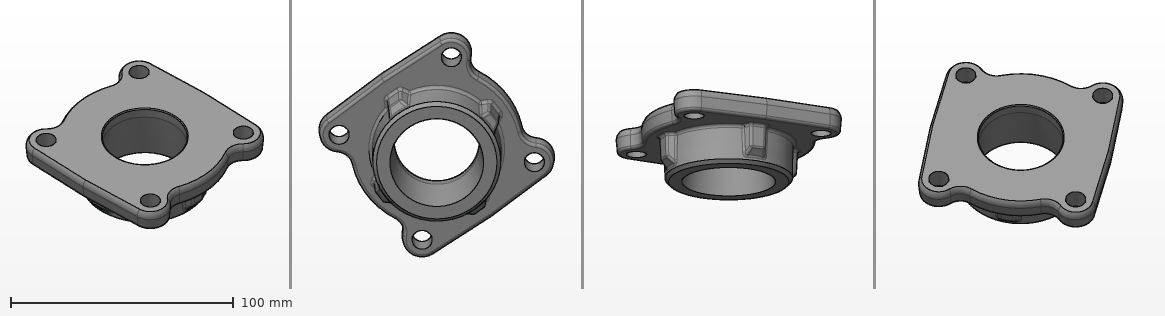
import cadquery as cq
import math

total_height = 27.8
casting_fillet = 1.5
casting_draft = 5.0

flange_thickness = 10.0
flange_width = 81.0
flange_depth = 83.2
parting_depth = 3.5
rim_radius = 5.0
hole_offset = 31.4
hole_diameter = 9.0
ear_radius = flange_width / 2 - hole_offset
bulge_radius = 39.3
waist_radius = 7.0

boss_bottom_radius = 28.7
boss_draft = 1.0
boss_chamfer = 1.7

rib_count = 4
rib_reach = 32.6
rib_root_radius = 25.0
rib_half_width = 3.75
rib_side_angle = 26.0
rib_draft = 2.5
rib_slope_depth = 24.4

bore_radius = 19.1
bore_chamfer = 0.5
straight_bore_depth = 5.0

flange_bottom = -flange_thickness
boss_bottom = -total_height


def polar(radius, angle):
    return (radius * math.cos(angle), radius * math.sin(angle))


def toward(start, end, distance):
    """Point at a given distance from start on the line to end."""
    fraction = distance / math.dist(start, end)
    return (start[0] + fraction * (end[0] - start[0]), start[1] + fraction * (end[1] - start[1]))


def quarter_outline():
    """Tangent points and arc mid-points from the +X side round to the +Y peak."""
    ear = (hole_offset, hole_offset)
    ear_distance = math.hypot(*ear)

    waist_distance = bulge_radius + waist_radius
    waist_to_ear = ear_radius + waist_radius
    squares = waist_distance**2 + ear_distance**2 - waist_to_ear**2
    waist_cosine = squares / (2 * waist_distance * ear_distance)
    waist_angle = math.pi / 4 - math.acos(waist_cosine)
    waist = polar(waist_distance, waist_angle)
    bulge_end = polar(bulge_radius, waist_angle)
    ear_start = toward(ear, waist, ear_radius)
    chord_middle = ((bulge_end[0] + ear_start[0]) / 2, (bulge_end[1] + ear_start[1]) / 2)
    waist_middle = toward(waist, chord_middle, waist_radius)

    peak = (0, flange_depth / 2)
    peak_to_ear = math.dist(peak, ear)
    direction_to_peak = math.atan2(peak[1] - ear[1], peak[0] - ear[0])
    tangent_angle = direction_to_peak - math.acos(ear_radius / peak_to_ear)
    start_angle = math.atan2(ear_start[1] - ear[1], ear_start[0] - ear[0])
    ear_middle_offset = polar(ear_radius, (start_angle + tangent_angle) / 2)
    ear_end_offset = polar(ear_radius, tangent_angle)
    ear_middle = (ear[0] + ear_middle_offset[0], ear[1] + ear_middle_offset[1])
    ear_end = (ear[0] + ear_end_offset[0], ear[1] + ear_end_offset[1])
    return bulge_end, waist_middle, ear_start, ear_middle, ear_end, peak


def flange_outline(level):
    bulge_end, waist_middle, ear_start, ear_middle, ear_end, peak = quarter_outline()

    def left(point):
        return (-point[0], point[1])

    def front(point):
        return (point[0], -point[1])

    def opposite(point):
        return (-point[0], -point[1])

    return (
        cq.Workplane("XY", origin=(0, 0, level))
        .moveTo(*front(bulge_end))
        .threePointArc((bulge_radius, 0), bulge_end)
        .threePointArc(waist_middle, ear_start)
        .threePointArc(ear_middle, ear_end)
        .lineTo(*peak)
        .lineTo(*left(ear_end))
        .threePointArc(left(ear_middle), left(ear_start))
        .threePointArc(left(waist_middle), left(bulge_end))
        .threePointArc((-bulge_radius, 0), opposite(bulge_end))
        .threePointArc(opposite(waist_middle), opposite(ear_start))
        .threePointArc(opposite(ear_middle), opposite(ear_end))
        .lineTo(*front(peak))
        .lineTo(*front(ear_end))
        .threePointArc(front(ear_middle), front(ear_start))
        .threePointArc(front(waist_middle), front(bulge_end))
        .close()
    )


def make_flange():
    block_height = 1.5 * rim_radius
    block_top = rim_radius - parting_depth
    upper = flange_outline(block_top - block_height).extrude(block_height)
    upper = upper.faces(">Z").edges().fillet(rim_radius)
    band = cq.Workplane("XY", origin=(0, 0, -parting_depth)).circle(flange_depth).extrude(parting_depth)
    upper = upper.intersect(band)
    lower = flange_outline(-parting_depth).extrude(parting_depth - flange_thickness, taper=casting_draft)
    lower = lower.faces("<Z").edges().fillet(casting_fillet)
    return upper.union(lower)


def make_boss():
    """Tapered round boss with a chamfered rim, hanging from the flange underside."""
    boss_height = flange_bottom - boss_bottom
    top_radius = boss_bottom_radius + boss_height * math.tan(math.radians(boss_draft))
    return (
        cq.Workplane("XZ")
        .moveTo(0, flange_bottom)
        .lineTo(top_radius, flange_bottom)
        .lineTo(boss_bottom_radius, boss_bottom)
        .lineTo(0, boss_bottom)
        .close()
        .revolve(360, (0, 0), (0, 1))
        .faces("<Z")
        .chamfer(boss_chamfer)
        .rotate((0, 0, 0), (0, 0, 1), 180 / rib_count)
    )


def make_rib():
    """Rib on the +X side, with rounded outer edges."""
    flank_slope = math.tan(math.radians(rib_side_angle))
    root_half_width = rib_half_width + (rib_reach - rib_root_radius) * flank_slope
    rib = (
        cq.Workplane("XY", origin=(0, 0, flange_bottom))
        .moveTo(rib_root_radius, -root_half_width)
        .lineTo(rib_reach, -rib_half_width)
        .lineTo(rib_reach, rib_half_width)
        .lineTo(rib_root_radius, root_half_width)
        .close()
        .extrude(boss_bottom - flange_bottom, taper=rib_draft)
    )

    outward = rib_reach - boss_bottom_radius
    inward = boss_bottom_radius - rib_root_radius
    low_end = -rib_slope_depth - inward
    below_underside = (
        cq.Workplane("XZ")
        .moveTo(rib_reach, outward - rib_slope_depth)
        .lineTo(rib_root_radius, low_end)
        .lineTo(rib_reach, low_end)
        .close()
        .extrude(root_half_width, both=True)
    )
    rib = rib.cut(below_underside)

    exposed_start = (rib_root_radius + boss_bottom_radius) / 2
    exposed = cq.selectors.BoxSelector(
        (exposed_start, -root_half_width, flange_bottom - casting_fillet),
        (rib_reach, root_half_width, boss_bottom),
    )
    return rib.edges(exposed).fillet(casting_fillet)


def make_ribbed_boss():
    body = make_boss()
    rib = make_rib()
    for index in range(rib_count):
        body = body.union(rib.rotate((0, 0, 0), (0, 0, 1), index * 360 / rib_count))
    return body


def make_bore():
    """Straight at the top with a chamfered mouth, then widening downward."""
    straight_end = -straight_bore_depth
    bottom_radius = bore_radius + (straight_end - boss_bottom) * math.tan(math.radians(casting_draft))
    return (
        cq.Workplane("XZ")
        .lineTo(bore_radius + bore_chamfer, 0)
        .lineTo(bore_radius, -bore_chamfer)
        .lineTo(bore_radius, straight_end)
        .lineTo(bottom_radius, boss_bottom)
        .lineTo(0, boss_bottom)
        .close()
        .revolve(360, (0, 0), (0, 1))
    )


def make_bolt_holes():
    spacing = 2 * hole_offset
    return (
        cq.Workplane("XY")
        .rect(spacing, spacing, forConstruction=True)
        .vertices()
        .circle(hole_diameter / 2)
        .extrude(flange_bottom)
    )


casting = make_flange().union(make_ribbed_boss())

underside = casting.faces(cq.NearestToPointSelector((0, 0, flange_bottom))).val()
underside_edges = [edge for wire in underside.innerWires() for edge in wire.Edges()]
rib_edges = casting.faces("%CONE").edges("not (%CIRCLE or %LINE)").vals()
casting = casting.newObject(underside_edges + rib_edges).fillet(casting_fillet)

result = casting.cut(make_bore()).cut(make_bolt_holes())